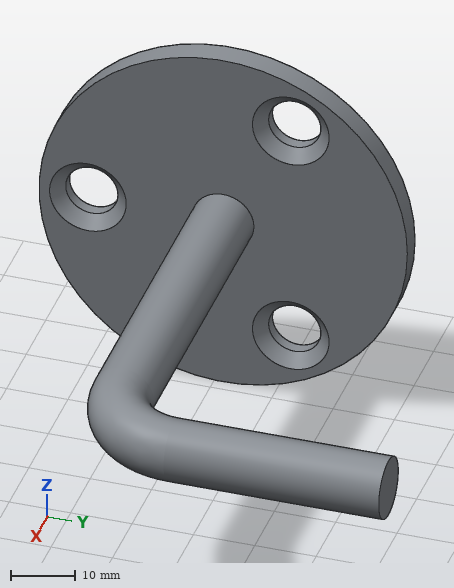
import cadquery as cq

overall_depth = 72.0
overall_width = 77.0

plate_diameter = 60.0
plate_thickness = 4.0
hole_diameter = 8.5
countersink_diameter = 12.5
countersink_angle = 90.0
hole_circle_radius = 22.0
hole_count = 3
first_hole_angle = 180.0

rod_diameter = 10.0
bend_radius = 12.0
arm_x = overall_depth - rod_diameter / 2
tip_y = overall_width - plate_diameter / 2


def make_plate():
    """Disc facing X with a ring of holes countersunk from the rod side."""
    return (
        cq.Workplane("YZ")
        .circle(plate_diameter / 2)
        .extrude(plate_thickness)
        .faces(">X")
        .workplane()
        .polarArray(hole_circle_radius, first_hole_angle, 360, hole_count)
        .cskHole(hole_diameter, countersink_diameter, countersink_angle)
    )


def make_rod():
    """Rod running out along X from the plate, then bent towards +Y."""
    bend_start_x = arm_x - bend_radius
    centreline = (
        cq.Workplane("XY")
        .lineTo(bend_start_x, 0)
        .tangentArcPoint((arm_x, bend_radius), relative=False)
        .lineTo(arm_x, tip_y)
    )
    return cq.Workplane("YZ").circle(rod_diameter / 2).sweep(centreline)


result = make_plate().union(make_rod())